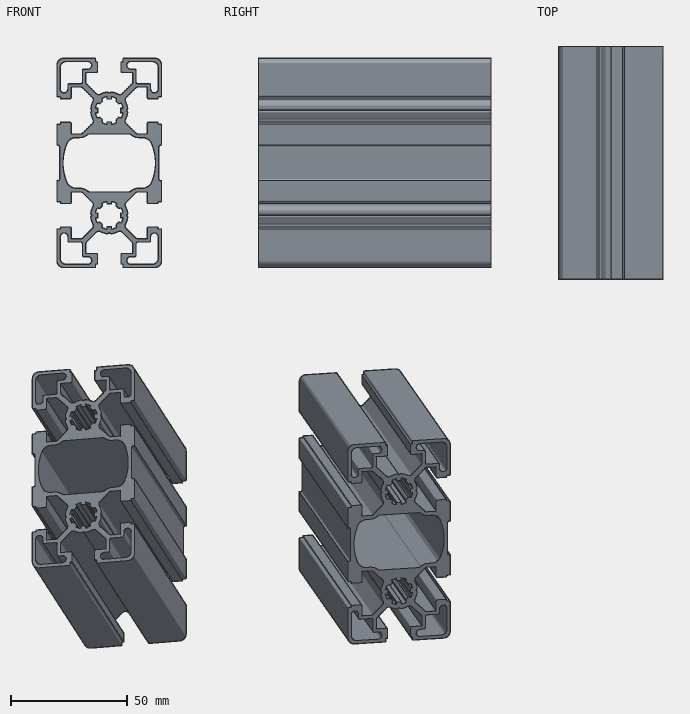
import cadquery as cq
import math

module = 45.0
length = 100.0
half_module = module / 2
width = module
height = 2 * module
corner_radius = 3.0

slot_half_opening = 5.0
lip_step_half_opening = 5.8
lip_step_depth = 1.6
lip_depth = 6.2
slot_half_width = 10.0
outer_lip_radius = 0.5
lip_corner_radius = 0.6
step_radius = 0.4
valley_radius = 1.5
web_root_radius = 1.0

web_half_offset = 1.7
hub_radius = 8.0
bore_radius = 6.0
tooth_tip_radius = 4.9
straight_tooth_width = 2.1
flared_tooth_tip_width = 1.7
flared_tooth_root_width = 3.2
tooth_pairs = 4
tooth_overlap = 0.2

groove_half_width = 0.7
groove_depth = 0.5
groove_rim_radius = 0.6
groove_rim_z = math.sqrt(hub_radius**2 - groove_half_width**2)

wall = 1.5
pocket_corner_radius = 2.5
pocket_step_radius = 0.6
pocket_core_radius = 0.8
pocket_arm_end = 14.9

cavity_half_width = 19.8
cavity_center_half_width = 9.0
cavity_center_half_height = 12.4
cavity_crest_radius = 1.4
cavity_shoulder_half_height = 10.8
cavity_shoulder_inner = 12.7
cavity_corner_radius = 4.2
cavity_side_radius = 21.8

recess_depth = 1.2
recess_half_height = 7.6
recess_floor_radius = 0.8


def section():
    return cq.Workplane("XZ")


def extrude(outline):
    """Run a closed outline along the full length, centred on Y."""
    return outline.extrude(length / 2, both=True)


def round_edges(body, points, radius):
    """Fillet the lengthwise edges that pass through the given (x, z) points."""
    edges = body.newObject([])
    for x, z in points:
        edges = edges.add(body.edges(cq.selectors.NearestToPointSelector((x, 0, z))))
    return edges.fillet(radius)


def mirrored(points):
    """The points together with their mirror images across the Z axis."""
    return points + [(-x, z) for x, z in points]


def make_groove():
    """V groove cutter on the +Z crown of the hub, with the hub centre at the origin."""
    bottom = hub_radius - groove_depth
    top = hub_radius + groove_depth
    right_rim = (groove_half_width, groove_rim_z)
    left_rim = (-groove_half_width, groove_rim_z)
    outline = [(0, bottom), right_rim, (0, top), left_rim]
    return extrude(section().polyline(outline).close())


def make_slot():
    """Slot cutter opening toward +Z, with the hub centre at the origin."""
    face = half_module
    step = face - lip_step_depth
    underside = face - lip_depth
    web_start = slot_half_width + web_half_offset
    hub_x = (math.sqrt(2 * hub_radius**2 - web_half_offset**2) - web_half_offset) / 2
    hub_z = hub_x + web_half_offset
    right = [
        (hub_x, hub_z),
        (slot_half_width, web_start),
        (slot_half_width, underside),
        (slot_half_opening, underside),
        (slot_half_opening, step),
        (lip_step_half_opening, step),
        (lip_step_half_opening, face),
    ]
    left = [(-x, z) for x, z in reversed(right)]
    outline = section().polyline(right + left)
    slot = extrude(outline.threePointArc((0, hub_radius), (hub_x, hub_z)).close())
    slot = round_edges(slot, mirrored([(hub_x, hub_z)]), valley_radius)
    slot = round_edges(slot, mirrored([(slot_half_width, web_start)]), web_root_radius)
    slot = round_edges(slot, mirrored([(slot_half_opening, underside)]), lip_corner_radius)
    slot = round_edges(slot, mirrored([(lip_step_half_opening, step)]), step_radius)
    slot = slot.union(make_groove())
    return round_edges(slot, mirrored([(groove_half_width, groove_rim_z)]), groove_rim_radius)


def make_tooth(tip_width, root_width):
    """Bore tooth pointing inward from +Z, slightly sunk into the bore wall."""
    tip = tip_width / 2
    root = root_width / 2
    root_z = bore_radius + tooth_overlap
    outline = [(tip, tooth_tip_radius), (root, root_z), (-root, root_z), (-tip, tooth_tip_radius)]
    return extrude(section().polyline(outline).close())


def make_bore():
    """Bore cutter with straight teeth on the axes and flared teeth on the diagonals."""
    bore = extrude(section().circle(bore_radius))
    straight = make_tooth(straight_tooth_width, straight_tooth_width)
    flared = make_tooth(flared_tooth_tip_width, flared_tooth_root_width)
    pitch = 360 / tooth_pairs
    for index in range(tooth_pairs):
        bore = bore.cut(straight.rotate((0, 0, 0), (0, 1, 0), index * pitch))
        bore = bore.cut(flared.rotate((0, 0, 0), (0, 1, 0), (index + 0.5) * pitch))
    return bore


def make_pocket():
    """Hollow of the +X +Z corner."""
    def place(across, down):
        return (width / 2 - across, height / 2 - down)

    arm = lip_depth - wall
    core = half_module - slot_half_width - wall
    arm_middle = (wall + arm) / 2
    arm_straight = pocket_arm_end - (arm - wall) / 2
    pocket = extrude(
        section()
        .moveTo(*place(wall, wall))
        .lineTo(*place(arm_straight, wall))
        .threePointArc(place(pocket_arm_end, arm_middle), place(arm_straight, arm))
        .lineTo(*place(core, arm))
        .lineTo(*place(core, core))
        .lineTo(*place(arm, core))
        .lineTo(*place(arm, arm_straight))
        .threePointArc(place(arm_middle, pocket_arm_end), place(wall, arm_straight))
        .close()
    )
    pocket = round_edges(pocket, [place(wall, wall)], pocket_corner_radius)
    pocket = round_edges(pocket, [place(core, core)], pocket_core_radius)
    steps = [place(core, arm), place(arm, core)]
    return round_edges(pocket, steps, pocket_step_radius)


def make_cavity():
    """Central cavity, drawn as its +X +Z quarter and mirrored."""
    run = cavity_shoulder_inner - cavity_center_half_width
    rise = cavity_center_half_height - cavity_shoulder_half_height
    shoulder_radius = (run**2 + rise**2) / (2 * rise)
    half_angle = math.asin(run / shoulder_radius) / 2
    shoulder_mid_x = cavity_shoulder_inner - shoulder_radius * math.sin(half_angle)
    shoulder_mid_z = cavity_shoulder_half_height + shoulder_radius * (1 - math.cos(half_angle))

    side_center_x = cavity_half_width - cavity_side_radius
    corner_center_z = cavity_shoulder_half_height - cavity_corner_radius
    center_gap = cavity_side_radius - cavity_corner_radius
    corner_center_x = side_center_x + math.sqrt(center_gap**2 - corner_center_z**2)
    join_angle = math.asin(corner_center_z / center_gap)
    corner_mid_angle = (join_angle + math.pi / 2) / 2

    def on_corner(angle):
        return (
            corner_center_x + cavity_corner_radius * math.cos(angle),
            corner_center_z + cavity_corner_radius * math.sin(angle),
        )

    side_mid = (
        side_center_x + cavity_side_radius * math.cos(join_angle / 2),
        cavity_side_radius * math.sin(join_angle / 2),
    )
    crest = (cavity_center_half_width, cavity_center_half_height)
    quarter = extrude(
        section()
        .lineTo(0, cavity_center_half_height)
        .lineTo(*crest)
        .threePointArc((shoulder_mid_x, shoulder_mid_z), (cavity_shoulder_inner, cavity_shoulder_half_height))
        .lineTo(corner_center_x, cavity_shoulder_half_height)
        .threePointArc(on_corner(corner_mid_angle), on_corner(join_angle))
        .threePointArc(side_mid, (cavity_half_width, 0))
        .close()
    )
    quarter = round_edges(quarter, [crest], cavity_crest_radius)
    upper = quarter.union(quarter.mirror("YZ"))
    return upper.union(upper.mirror("XY"))


def make_recess():
    """Shallow side recess on the +X face."""
    floor_x = width / 2 - recess_depth
    recess = extrude(section().center(width / 2, 0).rect(2 * recess_depth, 2 * recess_half_height))
    floor_corners = [(floor_x, recess_half_height), (floor_x, -recess_half_height)]
    return round_edges(recess, floor_corners, recess_floor_radius)


body = extrude(section().rect(width, height)).edges("|Y").fillet(corner_radius)

slot = make_slot()
upper_cuts = make_bore()
for angle in (-90, 0, 90):
    upper_cuts = upper_cuts.add(slot.rotate((0, 0, 0), (0, 1, 0), angle))
upper_cuts = upper_cuts.combine().translate((0, 0, half_module))
body = body.cut(upper_cuts).cut(upper_cuts.mirror("XY"))

lip_edge = half_module + lip_step_half_opening
lip_edge_inner = half_module - lip_step_half_opening
top_edges = [(lip_step_half_opening, height / 2), (lip_step_half_opening, -height / 2)]
side_edges = [(width / 2, z) for z in (lip_edge, lip_edge_inner, -lip_edge, -lip_edge_inner)]
body = round_edges(body, mirrored(top_edges + side_edges), outer_lip_radius)

pocket = make_pocket()
for cutter in (pocket, pocket.mirror("YZ")):
    body = body.cut(cutter).cut(cutter.mirror("XY"))

recess = make_recess()
body = body.cut(make_cavity()).cut(recess).cut(recess.mirror("YZ"))

result = body